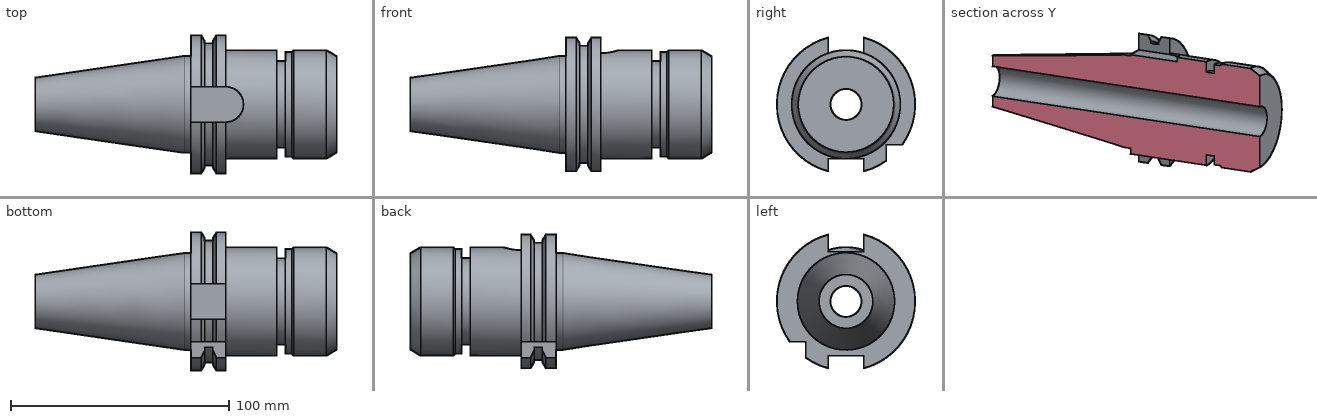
import cadquery as cq

total_length = 138.4
bore_radius = 7.0

taper_slope = 7 / 48
gauge_x = 68.4
gauge_radius = 22.3
small_end_radius = gauge_radius - gauge_x * taper_slope

flange_start = 71.4
flange_end = 87.5
flange_diameter = 63.5
flange_radius = flange_diameter / 2
v_start = 76.1
v_end = 83.2
v_floor_radius = 28.1
v_side_run = 1.7
v_side_depth = 2.6

body_radius = 24.9
neck_start = 110.9
neck_end = 114.7
neck_radius = 19.9
nut_collar_end = 117.8
nut_collar_radius = 24.1
nut_edge_chamfer = body_radius - nut_collar_radius
nut_chamfer_length = 4.8
nut_chamfer_depth = 2.6
nut_face_chamfer = 0.4

slot_width = 16.2
top_slot_floor = 22.8
bottom_slot_floor = 24.9
notch_offset = 18.5


def turned_body():
    """Revolve the stepped outer outline about the X axis."""
    v_side_radius = flange_radius - v_side_depth
    nut_nose_radius = body_radius - nut_chamfer_depth
    outline = [
        (0, 0),
        (0, small_end_radius),
        (gauge_x, gauge_radius),
        (flange_start, gauge_radius),
        (flange_start, flange_radius),
        (v_start, flange_radius),
        (v_start + v_side_run, v_side_radius),
        (v_start + v_side_run, v_floor_radius),
        (v_end - v_side_run, v_floor_radius),
        (v_end - v_side_run, v_side_radius),
        (v_end, flange_radius),
        (flange_end, flange_radius),
        (flange_end, body_radius),
        (neck_start, body_radius),
        (neck_start, neck_radius),
        (neck_end, neck_radius),
        (neck_end, nut_collar_radius),
        (nut_collar_end, nut_collar_radius),
        (nut_collar_end + nut_edge_chamfer, body_radius),
        (total_length - nut_chamfer_length, body_radius),
        (total_length - nut_face_chamfer, nut_nose_radius),
        (total_length, nut_nose_radius - nut_face_chamfer),
        (total_length, 0),
    ]
    return cq.Workplane("XY").polyline(outline).close().revolve(360, (0, 0, 0), (1, 0, 0))


def flange_box(y_min, y_max, z_min, z_max):
    """Cutting block as long as the flange is thick."""
    return cq.Workplane("XY").box(
        flange_end - flange_start, y_max - y_min, z_max - z_min, centered=False
    ).translate((flange_start, y_min, z_min))


half_slot = slot_width / 2

top_slot = flange_box(-half_slot, half_slot, top_slot_floor, flange_radius).union(
    cq.Workplane("XY", origin=(flange_end, 0, top_slot_floor))
    .circle(half_slot)
    .extrude(flange_radius - top_slot_floor)
)
bottom_slot = flange_box(-half_slot, half_slot, -flange_radius, -bottom_slot_floor)
corner_notch = flange_box(notch_offset, flange_radius, -flange_radius, -notch_offset)
bore = cq.Workplane("YZ").circle(bore_radius).extrude(total_length)

result = turned_body().cut(top_slot).cut(bottom_slot).cut(corner_notch).cut(bore)